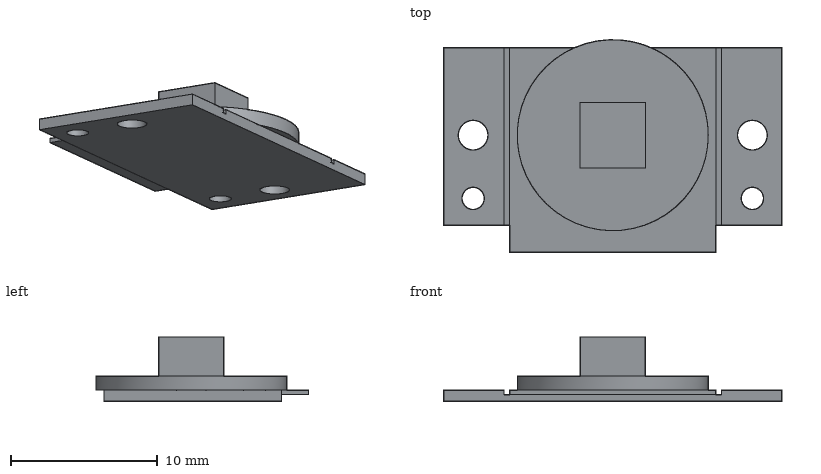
import cadquery as cq

base_length = 23.0
base_back = 5.95
base_front = 6.15
base_thickness = 0.75

plate_width = 14.03
plate_thickness = 0.3
plate_front = 7.98
channel_clearance = 0.37

disc_diameter = 13.0
disc_thickness = 0.97
block_side = 4.45
block_height = 2.67

hole_inset = 2.0
large_hole_diameter = 2.0
small_hole_diameter = 1.5
hole_spacing = 4.3

channel_width = plate_width + 2 * channel_clearance
channel_floor = base_thickness - plate_thickness
disc_top = base_thickness + disc_thickness
hole_x = base_length / 2 - hole_inset


def slab(width, front, back, bottom, thickness):
    """Flat rectangle centred in X, reaching front and back of the disc axis."""
    return (
        cq.Workplane("XY")
        .box(width, front + back, thickness, centered=(True, False, False))
        .translate((0, -front, bottom))
    )


def mounting_holes(diameter, y):
    """Pair of through-hole cutters, one in each end tab."""
    return (
        cq.Workplane("XY")
        .pushPoints([(-hole_x, y), (hole_x, y)])
        .circle(diameter / 2)
        .extrude(base_thickness)
    )


base = slab(base_length, base_front, base_back, 0, base_thickness)
channel = slab(channel_width, base_front, base_back, channel_floor, plate_thickness)
base = base.cut(channel)
base = base.cut(mounting_holes(large_hole_diameter, 0))
base = base.cut(mounting_holes(small_hole_diameter, -hole_spacing))

plate = slab(plate_width, plate_front, base_back, channel_floor, plate_thickness)
disc = cq.Workplane("XY", origin=(0, 0, base_thickness)).circle(disc_diameter / 2).extrude(disc_thickness)
block = slab(block_side, block_side / 2, block_side / 2, disc_top, block_height)

result = base.union(plate).union(disc).union(block)